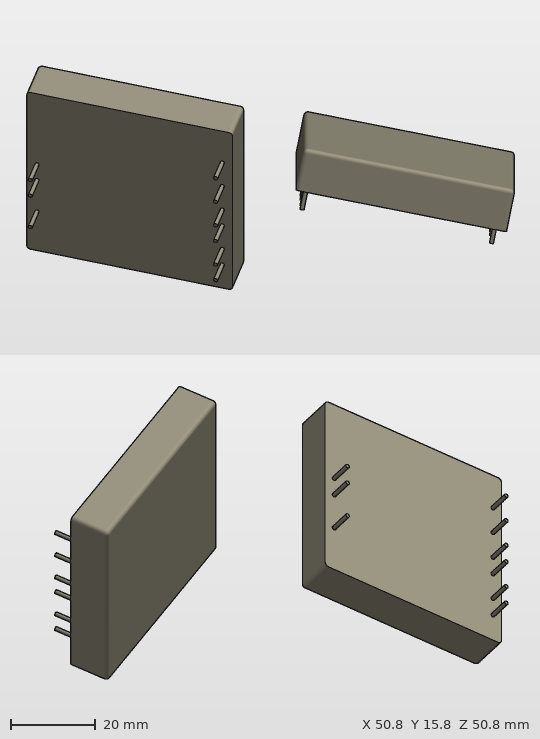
import cadquery as cq

body_side = 50.8
body_depth = 10.15
edge_radius = 1.0

pin_diameter = 1.0
pin_length = 5.65
pin_pitch = 2.55
column_x = 9 * pin_pitch

left_pin_steps = (1, -1, -5)
right_pin_steps = (6, 3, 0, -2, -5, -7)


def make_body():
    """Block with rounded corners and a rounded back rim; the pin face stays sharp."""
    block = cq.Workplane("XY").box(body_side, body_depth, body_side, centered=(True, False, True))
    return block.edges("|Y").fillet(edge_radius).faces(">Y").edges().fillet(edge_radius)


def make_pins(x, steps):
    """One column of pins at the given X."""
    centres = [(x, step * pin_pitch) for step in steps]
    return (
        cq.Workplane("XZ", origin=(0, body_depth / 2, 0))
        .pushPoints(centres)
        .circle(pin_diameter / 2)
        .extrude(body_depth / 2 + pin_length)
    )


result = (
    make_body()
    .union(make_pins(-column_x, left_pin_steps))
    .union(make_pins(column_x, right_pin_steps))
)